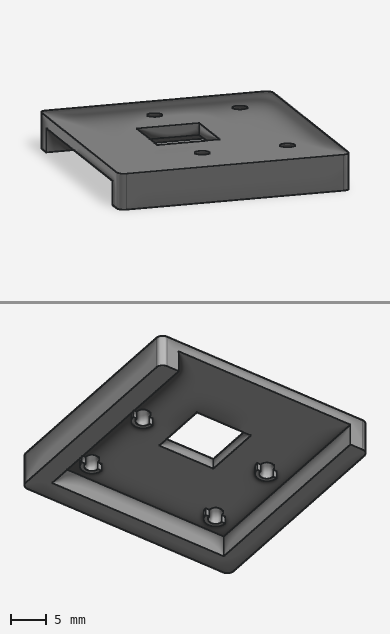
import cadquery as cq

length = 35.17
width = 33.9
height = 5.2
corner_radius = 1.05

top_thickness = 1.72
side_wall = 3.05
back_wall = side_wall
pocket_height = height - top_thickness

window_side = 9.15
window_center_y = -2.45

hole_diameter = 2.1
hole_x = 10.48
front_row_y = -2.43
back_row_y = 10.05

standoff_diameter = 3.3
standoff_radius = standoff_diameter / 2
standoff_height = 1.2


def make_cover():
    """Rounded plate with walls on three sides of the underside."""
    plate = (
        cq.Workplane("XY")
        .box(length, width, height, centered=(True, True, False))
        .edges("|Z")
        .fillet(corner_radius)
    )
    pocket = cq.Workplane("XY").box(
        length - 2 * side_wall,
        width - back_wall,
        pocket_height,
        centered=(True, False, False),
    )
    return plate.cut(pocket.translate((0, -width / 2, 0)))


def make_standoff(x, y):
    """Half cylinder hanging from the pocket roof, keeping the +Y half around the hole axis."""
    half_disc = (
        cq.Workplane("XY")
        .moveTo(-standoff_radius, 0)
        .threePointArc((0, standoff_radius), (standoff_radius, 0))
        .close()
        .extrude(standoff_height)
    )
    return half_disc.translate((x, y, pocket_height - standoff_height))


hole_centers = [(x, y) for x in (-hole_x, hole_x) for y in (front_row_y, back_row_y)]

result = make_cover()
for x, y in hole_centers:
    result = result.union(make_standoff(x, y))

window = (
    cq.Workplane("XY")
    .center(0, window_center_y)
    .rect(window_side, window_side)
    .extrude(height)
)
holes = cq.Workplane("XY").pushPoints(hole_centers).circle(hole_diameter / 2).extrude(height)
result = result.cut(window).cut(holes)